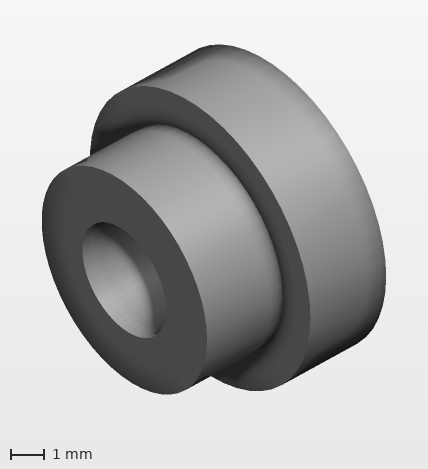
import cadquery as cq

flange_diameter = 10.0
flange_length = 3.0
collar_diameter = 7.5
collar_length = 3.0
bore_diameter = 3.8


def cylinder_along_y(diameter, y_start, length):
    """Solid cylinder on the Y axis, running from y_start toward +Y."""
    return cq.Workplane("XZ", origin=(0, y_start, 0)).circle(diameter / 2).extrude(-length)


flange = cylinder_along_y(flange_diameter, 0, flange_length)
collar = cylinder_along_y(collar_diameter, -collar_length, collar_length)

bore = cylinder_along_y(bore_diameter, -collar_length, collar_length + flange_length)

result = flange.union(collar).cut(bore)